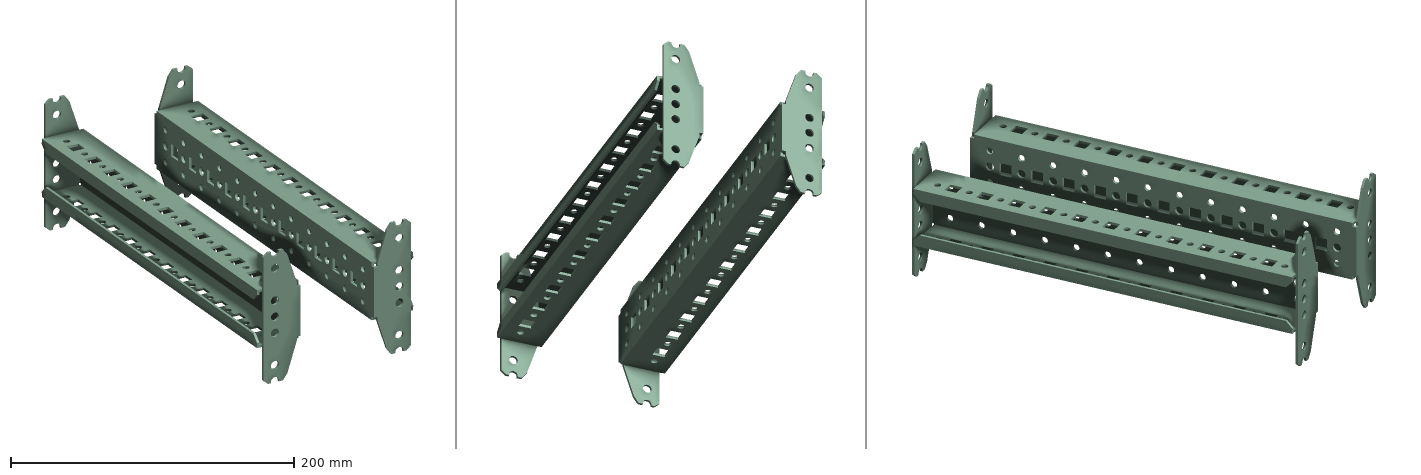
import cadquery as cq

LENGTH = 306.0
PAIR_DEPTH = 128.0
RAIL_DEPTH = 34.0
CHANNEL_HEIGHT = 45.0
PLATE_HEIGHT = 101.5
SHEET = 2.0

RELIEF = 3.0
EDGE_GAP = 2.78

LIP_HEIGHT = 9.2
LIP_CORNER = 5.2

HOLE_COUNT = 12
HOLE_SPAN = 275.0
PITCH = HOLE_SPAN / (HOLE_COUNT - 1)
ROW_SPACING = PITCH / 2
HOLE_LINE_SPACING = 102.0
SQUARE = 9.5
LARGE_HOLE = 6.5
SMALL_HOLE = 5.2
PLATE_HOLE_ROWS = (-3, -1, 0, 1, 3)
NOTCH_ROW = 4

PLATE_SETBACK = 3.7
SMALL_CORNER_END = 7.3
SMALL_CORNER_DROP = 3.0
TOP_EDGE_END = 19.5
SHOULDER_DEPTH = 23.3
SHOULDER_DROP = 5.0

HALF_CHANNEL = CHANNEL_HEIGHT / 2
HALF_PLATE = PLATE_HEIGHT / 2
OPEN_SIDE = PAIR_DEPTH / 2
WEB_BACK = OPEN_SIDE - RAIL_DEPTH
HOLE_LINE = HOLE_LINE_SPACING / 2
BEND_LENGTH = LENGTH - 2 * RELIEF
FLANGE_LENGTH = LENGTH - 2 * EDGE_GAP

hole_xs = [(i - (HOLE_COUNT - 1) / 2) * PITCH for i in range(HOLE_COUNT)]
square_xs = [x + PITCH / 2 for x in hole_xs[:-1]]


def centred_box(size_x, y_start, y_end, size_z, z_centre=0.0):
    """Box centred on X that spans a given stretch of Y."""
    box = cq.Workplane("XY").box(size_x, y_end - y_start, size_z)
    return box.translate((0, (y_start + y_end) / 2, z_centre))


def make_web():
    """Back wall, full length only between the bend reliefs of the end plates."""
    wall = centred_box(BEND_LENGTH, WEB_BACK, WEB_BACK + SHEET, CHANNEL_HEIGHT)
    tongue = centred_box(LENGTH, WEB_BACK, WEB_BACK + SHEET, CHANNEL_HEIGHT - 2 * RELIEF)
    return wall.union(tongue)


def make_flange(side):
    """Upper (side = 1) or lower (side = -1) wall, slightly shorter at its two bends."""
    z_centre = side * (HALF_CHANNEL - SHEET / 2)
    full_depth = centred_box(BEND_LENGTH, WEB_BACK, OPEN_SIDE, SHEET, z_centre)
    between_bends = centred_box(FLANGE_LENGTH, WEB_BACK + RELIEF, OPEN_SIDE - RELIEF, SHEET, z_centre)
    return full_depth.union(between_bends)


def make_lip(side):
    """Lip folded inward from a flange, its free corners cut at 45 degrees."""
    half = FLANGE_LENGTH / 2
    bend_half = BEND_LENGTH / 2
    root = side * HALF_CHANNEL
    bend = side * (HALF_CHANNEL - RELIEF)
    corner = side * (HALF_CHANNEL - LIP_HEIGHT + LIP_CORNER)
    tip = side * (HALF_CHANNEL - LIP_HEIGHT)
    outline = [
        (-bend_half, root),
        (bend_half, root),
        (bend_half, bend),
        (half, bend),
        (half, corner),
        (half - LIP_CORNER, tip),
        (-half + LIP_CORNER, tip),
        (-half, corner),
        (-half, bend),
        (-bend_half, bend),
    ]
    return cq.Workplane("XZ", origin=(0, OPEN_SIDE, 0)).polyline(outline).close().extrude(SHEET)


def make_end_plate(side):
    """Bracket plate folded from the web at the right (1) or left (-1) end."""
    front_edge = OPEN_SIDE - PLATE_SETBACK
    upper = [
        (front_edge, HALF_PLATE - SMALL_CORNER_DROP),
        (OPEN_SIDE - SMALL_CORNER_END, HALF_PLATE),
        (OPEN_SIDE - TOP_EDGE_END, HALF_PLATE),
        (OPEN_SIDE - SHOULDER_DEPTH, HALF_PLATE - SHOULDER_DROP),
        (WEB_BACK + RELIEF, HALF_CHANNEL),
        (WEB_BACK + RELIEF, HALF_CHANNEL - RELIEF),
        (WEB_BACK, HALF_CHANNEL - RELIEF),
    ]
    lower = [(y, -z) for y, z in reversed(upper)]
    outer_face = cq.Workplane("YZ", origin=(side * LENGTH / 2, 0, 0))
    return outer_face.polyline(upper + lower).close().extrude(-side * SHEET)


def web_cutters():
    """Squares and large holes on the middle row, small holes above and below."""
    plane = cq.Workplane("XZ", origin=(0, WEB_BACK + SHEET, 0))
    small_points = [(x, side * ROW_SPACING) for x in hole_xs for side in (-1, 1)]
    squares = plane.pushPoints([(x, 0) for x in square_xs]).rect(SQUARE, SQUARE).extrude(SHEET)
    large = plane.pushPoints([(x, 0) for x in hole_xs]).circle(LARGE_HOLE / 2).extrude(SHEET)
    small = plane.pushPoints(small_points).circle(SMALL_HOLE / 2).extrude(SHEET)
    return [squares, large, small]


def flange_cutters():
    """Alternating squares and small holes that pass through both flanges."""
    plane = cq.Workplane("XY", origin=(0, HOLE_LINE, -HALF_CHANNEL))
    squares = plane.pushPoints([(x, 0) for x in square_xs]).rect(SQUARE, SQUARE).extrude(CHANNEL_HEIGHT)
    small = plane.pushPoints([(x, 0) for x in hole_xs]).circle(SMALL_HOLE / 2).extrude(CHANNEL_HEIGHT)
    return [squares, small]


def plate_cutters():
    """Holes and open end notches that pass through both end plates."""
    plane = cq.Workplane("YZ", origin=(-LENGTH / 2, HOLE_LINE, 0))
    notch_centre = NOTCH_ROW * ROW_SPACING
    mouth_height = HALF_PLATE - notch_centre
    mouth_centre = (HALF_PLATE + notch_centre) / 2
    rows = PLATE_HOLE_ROWS + (-NOTCH_ROW, NOTCH_ROW)
    round_points = [(0, row * ROW_SPACING) for row in rows]
    rounds = plane.pushPoints(round_points).circle(LARGE_HOLE / 2).extrude(LENGTH)
    mouth_points = [(0, -mouth_centre), (0, mouth_centre)]
    mouths = plane.pushPoints(mouth_points).rect(LARGE_HOLE, mouth_height).extrude(LENGTH)
    return [rounds, mouths]


def make_rail():
    """One channel with its lips and end plates, its open side facing +Y."""
    rail = make_web()
    for side in (-1, 1):
        rail = rail.union(make_flange(side)).union(make_lip(side)).union(make_end_plate(side))
    for cutter in web_cutters() + flange_cutters() + plate_cutters():
        rail = rail.cut(cutter)
    return rail


rear_rail = make_rail()
front_rail = rear_rail.mirror("XZ")

result = cq.Compound.makeCompound([rear_rail.val(), front_rail.val()])